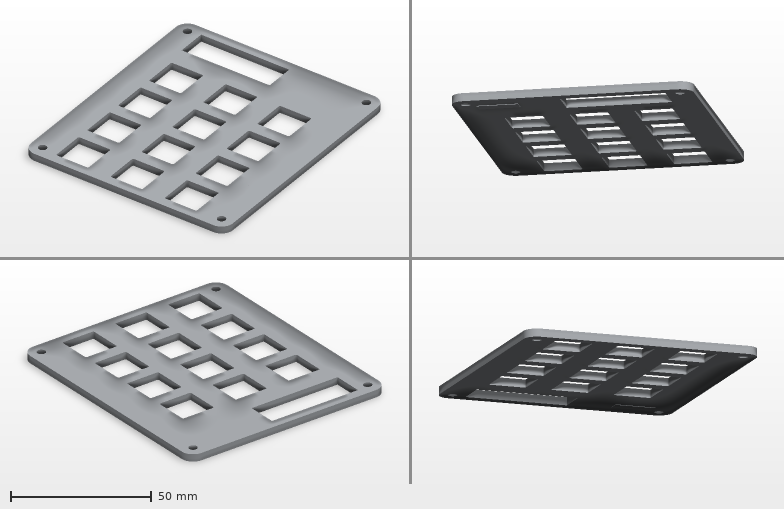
import cadquery as cq

width = 88.1
length = 99.8
total_height = 3.2
pad_height = 0.2
thickness = total_height - pad_height
corner_radius = 5.0

left = -width / 2
back = length / 2

screw_diameter = 3.4
screw_inset = corner_radius

key_size = 14.0
key_corner_radius = 0.5
key_columns = 3
key_rows = 4
key_pitch_x = 23.7
key_pitch_y = 19.2
first_key_from_left = 18.7
first_key_from_back = 31.4

window_width = 38.4
window_length = 12.1
window_from_left = 10.2
window_from_back = 3.9

pad_width = 15.1
pad_length = 4.3
pad_from_left = 64.5
pad_from_back = 7.0


def block_from_corner(size_x, size_y, height, from_left, from_back):
    """Block standing on Z = 0, placed by its back left corner."""
    center_x = left + from_left + size_x / 2
    center_y = back - from_back - size_y / 2
    return cq.Workplane("XY").center(center_x, center_y).rect(size_x, size_y).extrude(height)


def make_plate():
    plate = cq.Workplane("XY").rect(width, length).extrude(thickness)
    return plate.edges("|Z").fillet(corner_radius)


def make_screw_holes():
    spacing_x = width - 2 * screw_inset
    spacing_y = length - 2 * screw_inset
    corners = cq.Workplane("XY").rect(spacing_x, spacing_y, forConstruction=True).vertices()
    return corners.circle(screw_diameter / 2).extrude(thickness)


def make_key_openings():
    first_x = left + first_key_from_left
    first_y = back - first_key_from_back
    centers = []
    for column in range(key_columns):
        for row in range(key_rows):
            centers.append((first_x + column * key_pitch_x, first_y - row * key_pitch_y))
    openings = cq.Workplane("XY").pushPoints(centers).rect(key_size, key_size).extrude(thickness)
    return openings.edges("|Z").fillet(key_corner_radius)


window = block_from_corner(window_width, window_length, thickness, window_from_left, window_from_back)
pad = block_from_corner(pad_width, pad_length, -pad_height, pad_from_left, pad_from_back)

result = (
    make_plate()
    .cut(make_screw_holes())
    .cut(make_key_openings())
    .cut(window)
    .union(pad)
)